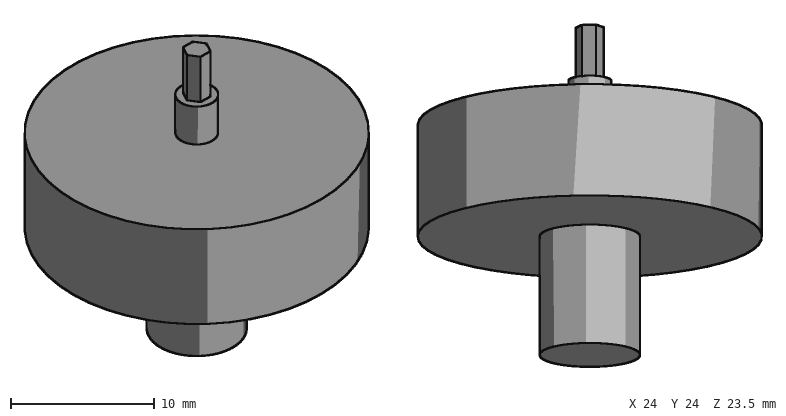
import cadquery as cq

disc_diameter = 24
disc_height = 8.0
shaft_diameter = 7.0
shaft_length = 8.5
collar_diameter = 3.0
collar_height = 3.2

total_height = 23.5
hex_across_corners = 1.97
hex_corner_turn = 90

disc_base = shaft_length
collar_base = disc_base + disc_height
hex_base = collar_base + collar_height
hex_height = total_height - hex_base


def cylinder(diameter, height, base):
    """Cylinder on the Z axis, rising from the given base level."""
    return cq.Workplane("XY").workplane(offset=base).circle(diameter / 2).extrude(height)


def hex_tip():
    """Hexagonal prism standing on top of the collar."""
    outline = cq.Workplane("XY").workplane(offset=hex_base).polygon(6, hex_across_corners)
    return outline.extrude(hex_height).rotate((0, 0, 0), (0, 0, 1), hex_corner_turn)


shaft = cylinder(shaft_diameter, shaft_length, 0)
disc = cylinder(disc_diameter, disc_height, disc_base)
collar = cylinder(collar_diameter, collar_height, collar_base)

result = shaft.union(disc).union(collar).union(hex_tip())